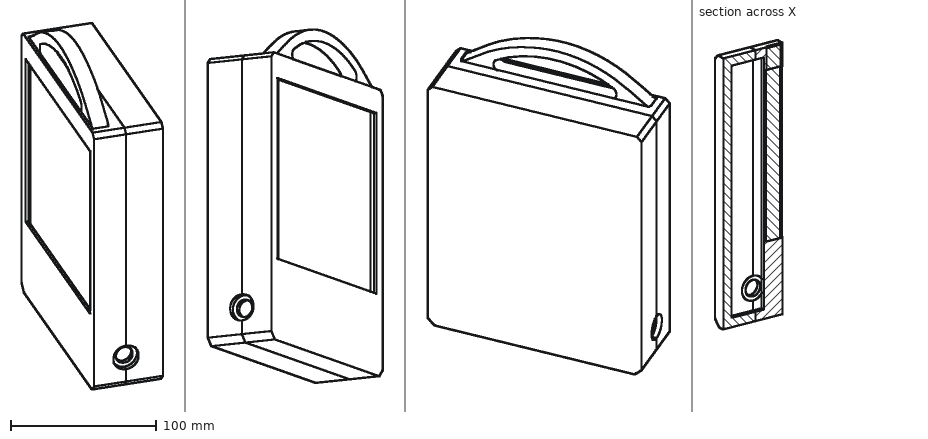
import cadquery as cq
import math

WIDTH = 160.0
DEPTH = 50.0
HOUSING_HEIGHT = 201.5
TOTAL_HEIGHT = 229.5
SPLIT_Y = 23.2
TOP_CHAMFER = 3.5
BOTTOM_CHAMFER = 5.0

WALL = 7.3
BACK_WALL = 7.3
FRONT_CAVITY_Y = 16.0

FRONT_WALL = 2.0
WINDOW_WIDTH = 142.4
WINDOW_BOTTOM = 57.5
WINDOW_TOP = 184.4
SLOT_DEPTH = 12.0
SLOT_CORNER_RADIUS = 2.5
SLOT_BACK_Y = FRONT_WALL + SLOT_DEPTH

SCREEN_WIDTH = 131.8
RAIL_WIDTH = (WINDOW_WIDTH - SCREEN_WIDTH) / 2

ARCH_RADIUS = 93.0
ARCH_THICKNESS = 7.8
SHOULDER_DROP = 1.4
SHOULDER_SLOPE = 0.7
CROWN_ANGLE = math.radians(30)
GRIP_OPENING_WIDTH = 91.8
GRIP_FLOOR_DROP = 1.0
GRIP_CORNER_RADIUS = 4.4

BORE_Z = 23.9
RING_OUTER_DIAMETER = 18.4
RING_INNER_DIAMETER = 12.2
RING_RECESS = 4.0
RING_LENGTH = WALL - RING_RECESS
INNER_WALL_X = WIDTH / 2 - WALL


def block(width, y_start, y_end, z_start, z_end):
    """Box centred on X that spans the given Y and Z ranges."""
    return cq.Workplane("XY").box(
        width, y_end - y_start, z_end - z_start, centered=(True, False, False)
    ).translate((0, y_start, z_start))


def housing_block(y_start, y_end):
    """Full housing outline between two Y planes, with its corners chamfered."""
    body = block(WIDTH, y_start, y_end, 0, HOUSING_HEIGHT)
    body = body.edges("|Y and >Z").chamfer(TOP_CHAMFER)
    return body.edges("|Y and <Z").chamfer(BOTTOM_CHAMFER)


def x_cylinder(diameter, x_start, length):
    """Cylinder on the axis of the cross bore."""
    return (
        cq.Workplane("YZ", origin=(x_start, SPLIT_Y, BORE_Z))
        .circle(diameter / 2)
        .extrude(length)
    )


def slot_block(z_end):
    """Block behind the front wall from the window top up, its rear vertical corners rounded."""
    body = block(WINDOW_WIDTH, FRONT_WALL, SLOT_BACK_Y, WINDOW_TOP, z_end)
    return body.edges("|Z and >Y").fillet(SLOT_CORNER_RADIUS)


def make_cavity():
    """Hollow shared by the two housing halves."""
    return block(
        WIDTH - 2 * WALL, FRONT_CAVITY_Y, DEPTH - BACK_WALL, WALL, HOUSING_HEIGHT - WALL
    )


def make_side_holes():
    """The two coaxial holes of the cross bore, one through each side wall."""
    left = x_cylinder(RING_OUTER_DIAMETER, -WIDTH / 2, WALL)
    right = x_cylinder(RING_OUTER_DIAMETER, INNER_WALL_X, WALL)
    return left.add(right).combine()


def make_front_housing():
    window = block(WINDOW_WIDTH, 0, SLOT_BACK_Y, WINDOW_BOTTOM, WINDOW_TOP)
    body = housing_block(0, SPLIT_Y).cut(make_cavity()).cut(make_side_holes())
    return body.cut(window).cut(slot_block(HOUSING_HEIGHT))


def make_back_housing():
    return housing_block(SPLIT_Y, DEPTH).cut(make_cavity()).cut(make_side_holes())


def make_window_panel(width):
    """Panel of the given width that stands in the window, set back by the front wall."""
    return block(width, FRONT_WALL, SLOT_BACK_Y, WINDOW_BOTTOM, WINDOW_TOP)


def make_screen():
    return make_window_panel(SCREEN_WIDTH)


def make_rail(side):
    """Rail beside the screen: side is -1 for left, 1 for right."""
    offset = (SCREEN_WIDTH + RAIL_WIDTH) / 2
    return make_window_panel(RAIL_WIDTH).translate((side * offset, 0, 0))


def make_arch_outline():
    """Outer shape of the handle as a solid from the front face back past the slot."""
    half_width = WINDOW_WIDTH / 2
    shoulder_z = HOUSING_HEIGHT - SHOULDER_DROP
    crown_x = ARCH_RADIUS * math.sin(CROWN_ANGLE)
    crown_z = TOTAL_HEIGHT - ARCH_RADIUS * (1 - math.cos(CROWN_ANGLE))
    return (
        cq.Workplane("XZ")
        .moveTo(-half_width, WINDOW_TOP)
        .lineTo(-half_width, shoulder_z)
        .spline(
            [(-crown_x, crown_z), (0, TOTAL_HEIGHT), (crown_x, crown_z), (half_width, shoulder_z)],
            tangents=[(1, SHOULDER_SLOPE), (1, -SHOULDER_SLOPE)],
            includeCurrent=True,
        )
        .lineTo(half_width, WINDOW_TOP)
        .close()
        .extrude(-SPLIT_Y)
    )


def make_grip_opening():
    """Opening under the arch, its floor just below the top of the housing."""
    half_width = GRIP_OPENING_WIDTH / 2
    floor_z = HOUSING_HEIGHT - GRIP_FLOOR_DROP
    radius = ARCH_RADIUS - ARCH_THICKNESS
    crown_z = TOTAL_HEIGHT - ARCH_THICKNESS
    side_top = crown_z - radius + math.sqrt(radius**2 - half_width**2)
    return (
        cq.Workplane("XZ")
        .moveTo(-half_width, floor_z)
        .lineTo(-half_width, side_top)
        .threePointArc((0, crown_z), (half_width, side_top))
        .lineTo(half_width, floor_z)
        .close()
        .extrude(-SPLIT_Y)
        .edges("|Y")
        .fillet(GRIP_CORNER_RADIUS)
    )


def make_handle():
    body = slot_block(TOTAL_HEIGHT + ARCH_THICKNESS).intersect(make_arch_outline())
    return body.cut(make_grip_opening())


def make_ring(x_start):
    """Ring flush with the inside of a side wall, recessed from the outside."""
    ring = x_cylinder(RING_OUTER_DIAMETER, x_start, RING_LENGTH)
    return ring.cut(x_cylinder(RING_INNER_DIAMETER, x_start, RING_LENGTH))


front_housing = make_front_housing()
back_housing = make_back_housing()
screen = make_screen()
handle = make_handle()
rails = [make_rail(side) for side in (-1, 1)]
rings = [make_ring(x_start) for x_start in (-INNER_WALL_X - RING_LENGTH, INNER_WALL_X)]

result = cq.Compound.makeCompound(
    [
        front_housing.val(),
        back_housing.val(),
        screen.val(),
        handle.val(),
        *[rail.val() for rail in rails],
        *[ring.val() for ring in rings],
    ]
)